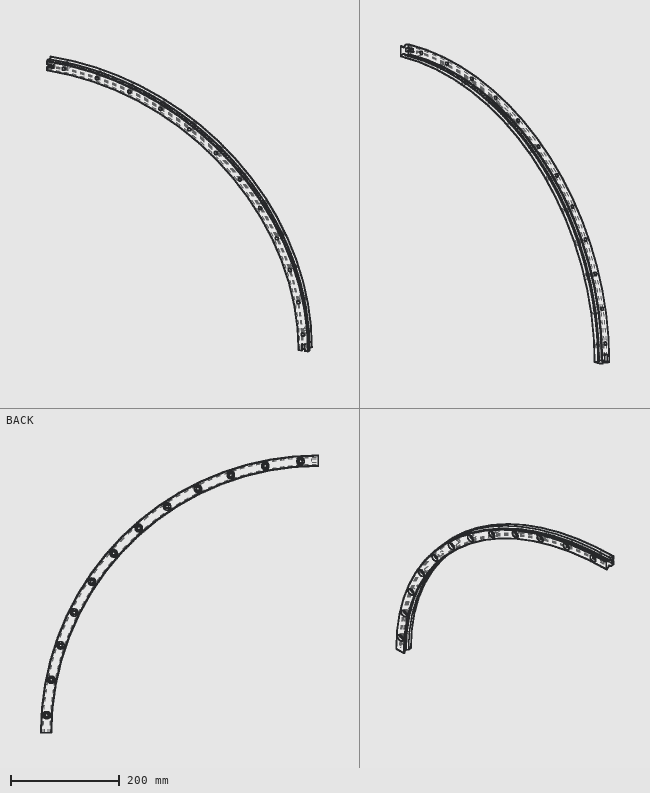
import cadquery as cq
import math

outer_radius = 510.0
rail_width = 20.0
rail_depth = 21.0
inner_radius = outer_radius - rail_width
mid_radius = outer_radius - rail_width / 2
sweep_angle = 90.0

front_land = 8.0
floor_front = 10.5
floor_back = 15.0
back_land = 19.5
groove_depth = 3.5

edge_bevel = 1.0

hole_count = 12
hole_diameter = 6.0
counterbore_diameter = 13.5
counterbore_depth = 6.5

slot_width = 6.0
slot_length = 13.0
slot_depth = 6.5


def make_rail():
    """Revolve the grooved section through a quarter turn, from +X to +Z."""
    groove_outer = outer_radius - groove_depth
    groove_inner = inner_radius + groove_depth
    section = (
        cq.Workplane("XY")
        .moveTo(inner_radius + edge_bevel, 0)
        .lineTo(outer_radius - edge_bevel, 0)
        .lineTo(outer_radius, edge_bevel)
        .lineTo(outer_radius, front_land)
        .lineTo(groove_outer, floor_front)
        .lineTo(groove_outer, floor_back)
        .lineTo(outer_radius, back_land)
        .lineTo(outer_radius, rail_depth - edge_bevel)
        .lineTo(outer_radius - edge_bevel, rail_depth)
        .lineTo(inner_radius + edge_bevel, rail_depth)
        .lineTo(inner_radius, rail_depth - edge_bevel)
        .lineTo(inner_radius, back_land)
        .lineTo(groove_inner, floor_back)
        .lineTo(groove_inner, floor_front)
        .lineTo(inner_radius, front_land)
        .lineTo(inner_radius, edge_bevel)
        .close()
    )
    return section.revolve(sweep_angle, (0, 0, 0), (0, -1, 0))


def cylinder_along_y(x, z, diameter, y_start, length):
    return cq.Workplane(
        cq.Solid.makeCylinder(diameter / 2, length, cq.Vector(x, y_start, z), cq.Vector(0, 1, 0))
    )


def cut_mounting_holes(rail):
    """Cut evenly spaced holes, with half a pitch left at each end."""
    pitch_angle = sweep_angle / hole_count
    for index in range(hole_count):
        angle = math.radians((index + 0.5) * pitch_angle)
        x = mid_radius * math.cos(angle)
        z = mid_radius * math.sin(angle)
        counterbore_start = rail_depth - counterbore_depth
        rail = rail.cut(cylinder_along_y(x, z, hole_diameter, 0, rail_depth))
        rail = rail.cut(cylinder_along_y(x, z, counterbore_diameter, counterbore_start, counterbore_depth))
    return rail


def cut_end_slots(rail):
    """Cut a front slot running in from each end face."""
    lower_slot = cq.Workplane("XY").box(slot_width, slot_depth, slot_length, centered=(True, False, False))
    upper_slot = cq.Workplane("XY").box(slot_length, slot_depth, slot_width, centered=(False, False, True))
    rail = rail.cut(lower_slot.translate((mid_radius, 0, 0)))
    return rail.cut(upper_slot.translate((0, 0, mid_radius)))


result = cut_end_slots(cut_mounting_holes(make_rail()))